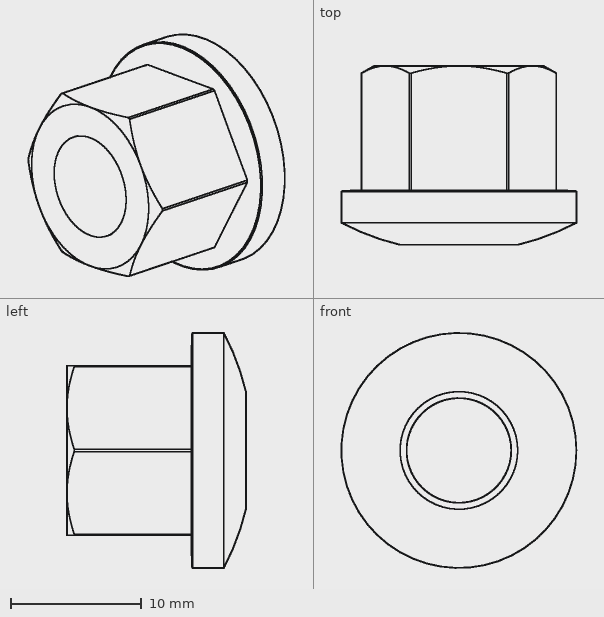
import cadquery as cq
import math

flange_diameter = 18.0
dome_height = 1.7
rim_height = 2.5
hex_height = 9.5

across_flats = 13.0
corner_diameter = 14.9
end_face_diameter = across_flats
end_chamfer_angle = 30.0

bore_diameter = 8.0
bore_mouth_diameter = 9.0
rim_chamfer = 0.09

back_rise = 0.04

flange_radius = flange_diameter / 2
mouth_radius = bore_mouth_diameter / 2
rim_end = dome_height + rim_height
total_height = rim_end + hex_height

dome_center = (flange_radius**2 - mouth_radius**2 + dome_height**2) / (2 * dome_height)
dome_radius = math.hypot(mouth_radius, dome_center)


def revolve_about_y(profile):
    return profile.close().revolve(360, (0, 0, 0), (0, 1, 0))


def make_flange():
    middle_radius = (mouth_radius + flange_radius) / 2
    middle_y = dome_center - math.sqrt(dome_radius**2 - middle_radius**2)
    back_edge = rim_end - back_rise
    profile = (
        cq.Workplane("XY")
        .lineTo(mouth_radius, 0)
        .threePointArc((middle_radius, middle_y), (flange_radius, dome_height))
        .lineTo(flange_radius, back_edge - rim_chamfer)
        .lineTo(flange_radius - rim_chamfer, back_edge)
        .lineTo(across_flats / 2, rim_end)
        .lineTo(0, rim_end)
    )
    return revolve_about_y(profile)


def make_hexagon():
    sharp_corner_diameter = across_flats / math.cos(math.radians(30))
    prism = (
        cq.Workplane("XZ", origin=(0, total_height, 0))
        .polygon(6, sharp_corner_diameter)
        .extrude(total_height - dome_height)
    )
    corner_radius = corner_diameter / 2
    end_radius = end_face_diameter / 2
    chamfer_length = (corner_radius - end_radius) * math.tan(math.radians(end_chamfer_angle))
    envelope = (
        cq.Workplane("XY")
        .lineTo(corner_radius, 0)
        .lineTo(corner_radius, total_height - chamfer_length)
        .lineTo(end_radius, total_height)
        .lineTo(0, total_height)
    )
    return prism.intersect(revolve_about_y(envelope))


def make_bore():
    bore_radius = bore_diameter / 2
    mouth_depth = mouth_radius - bore_radius
    profile = (
        cq.Workplane("XY")
        .lineTo(mouth_radius, 0)
        .lineTo(bore_radius, mouth_depth)
        .lineTo(bore_radius, total_height)
        .lineTo(0, total_height)
    )
    return revolve_about_y(profile)


result = make_flange().union(make_hexagon()).cut(make_bore())